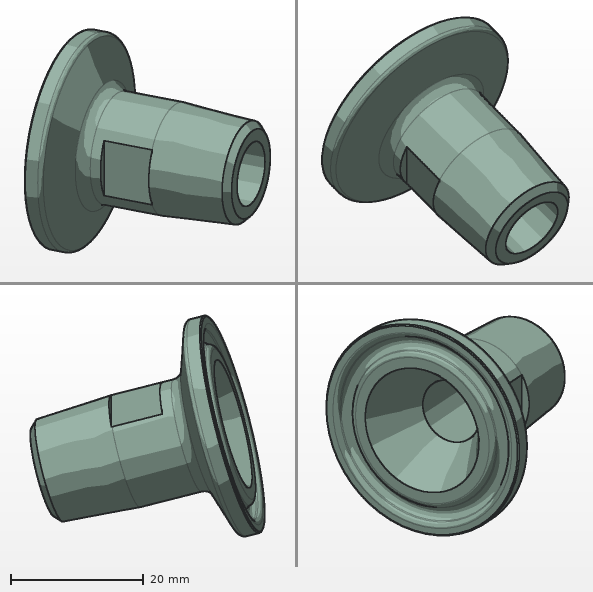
import cadquery as cq
import math

length = 30.0
flange_radius = 17.0

back_angle = math.radians(20.0)
rim_width = 2.8
rim_fillet = 0.75
face_chamfer = 0.2
neck_fillet = 2.0

neck_radius = 8.77
taper_start = 16.9
tip_radius = 8.02
tip_chamfer = 1.1

bore_radius = 5.0
mouth_radius = 10.0
mouth_half_angle = math.radians(30.0)

groove_centre_radius = 13.75
groove_half_width = 1.35
groove_floor_radius = 1.12
groove_lip_fillet = 0.9
groove_wall_angle = math.radians(70.0)

flat_start = 8.95
flat_end = 17.0
across_flats = 15.0


def revolve_about_x(profile):
    return profile.close().revolve(360, (0, 0, 0), (1, 0, 0))


def ring_edge(body, x, radius):
    """Return the circular edge of the given radius at the given X."""
    tolerance = 0.005

    def matches(edge):
        on_plane = abs(edge.Center().x - x) < tolerance
        return edge.geomType() == "CIRCLE" and on_plane and abs(edge.radius() - radius) < tolerance

    return body.edges().filter(matches)


def make_body():
    neck_start = rim_width + (flange_radius - neck_radius) * math.tan(back_angle)
    profile = (
        cq.Workplane("XY")
        .lineTo(0, flange_radius)
        .lineTo(rim_width, flange_radius)
        .lineTo(neck_start, neck_radius)
        .lineTo(taper_start, neck_radius)
        .lineTo(length - tip_chamfer, tip_radius)
        .lineTo(length, tip_radius - tip_chamfer)
        .lineTo(length, 0)
    )
    body = revolve_about_x(profile)
    body = ring_edge(body, rim_width, flange_radius).fillet(rim_fillet)
    body = ring_edge(body, neck_start, neck_radius).fillet(neck_fillet)
    return ring_edge(body, 0, flange_radius).chamfer(face_chamfer)


def make_bore():
    mouth_depth = (mouth_radius - bore_radius) / math.tan(mouth_half_angle)
    profile = (
        cq.Workplane("XY")
        .lineTo(0, mouth_radius)
        .lineTo(mouth_depth, bore_radius)
        .lineTo(length, bore_radius)
        .lineTo(length, 0)
    )
    return revolve_about_x(profile)


def cut_groove(body):
    floor_half_width = groove_floor_radius * math.sin(groove_wall_angle)
    wall_depth = (groove_half_width - floor_half_width) * math.tan(groove_wall_angle)
    depth = wall_depth + groove_floor_radius * (1 - math.cos(groove_wall_angle))
    inner_radius = groove_centre_radius - groove_half_width
    outer_radius = groove_centre_radius + groove_half_width
    profile = (
        cq.Workplane("XY")
        .moveTo(0, inner_radius)
        .lineTo(wall_depth, groove_centre_radius - floor_half_width)
        .threePointArc(
            (depth, groove_centre_radius),
            (wall_depth, groove_centre_radius + floor_half_width),
        )
        .lineTo(0, outer_radius)
    )
    body = body.cut(revolve_about_x(profile))
    for radius in (inner_radius, outer_radius):
        body = ring_edge(body, 0, radius).fillet(groove_lip_fillet)
    return body


def cut_flats(body):
    flat_length = flat_end - flat_start
    cut_depth = neck_radius
    for side in (-1, 1):
        cutter = cq.Workplane("XY").box(flat_length, cut_depth, 2 * neck_radius)
        cutter_y = side * (across_flats + cut_depth) / 2
        body = body.cut(cutter.translate((flat_start + flat_length / 2, cutter_y, 0)))
    return body


result = cut_flats(cut_groove(make_body().cut(make_bore())))